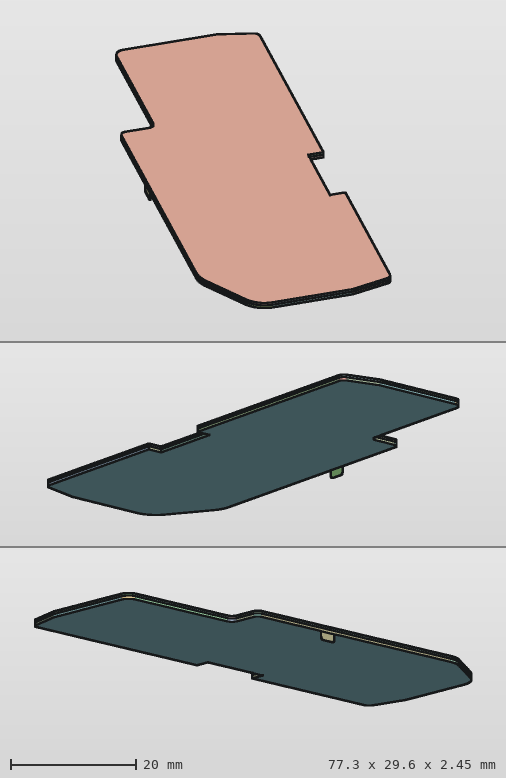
import cadquery as cq

LENGTH = 77.3
WIDTH = 29.6
LEFT = -LENGTH / 2
RIGHT = LENGTH / 2
FRONT = -WIDTH / 2
BACK = WIDTH / 2

SLOPE_INSET = 1.6
LEFT_SLOPE_LENGTH = 6.5
RIGHT_SLOPE_LENGTH = 6.95
BACK_CORNER_RADIUS = 1.1

STEP_LENGTH = 22.95
STEP_DEPTH = 5.9
STEP_INNER_RADIUS = 1.1
STEP_OUTER_RADIUS = 0.9
LEFT_CORNER_RADIUS = 1.55

CUT_LENGTH = 10.3
CUT_DEPTH = 6.7
CUT_SIDE_RADIUS = 4.8
CUT_FRONT_RADIUS = 4.8

NOTCH_LEFT = -0.85
NOTCH_WIDTH = 12.1
NOTCH_DEPTH = 2.55

BASE_THICKNESS = 0.55
COVER_THICKNESS = 0.5
COVER_BEVEL_HEIGHT = 0.2
COVER_BEVEL_INSET = 0.02

TAB_LEFT = -1.6
TAB_WIDTH = 2.9
TAB_DROP = 1.4
TAB_THICKNESS = 0.1
TAB_CORNER_RADIUS = 0.5


def round_corner(body, x, y, radius):
    """Round the vertical edge standing at the sharp corner (x, y)."""
    corner = cq.selectors.NearestToPointSelector((x, y, body.val().Center().z))
    return body.edges("|Z").edges(corner).fillet(radius)


def make_slab(bottom, thickness):
    """Slab with the shared outline, including the notch and rounded corners."""
    step_x = LEFT + STEP_LENGTH
    step_y = FRONT + STEP_DEPTH
    cut_x = RIGHT - CUT_LENGTH
    cut_y = FRONT + CUT_DEPTH
    notch_right = NOTCH_LEFT + NOTCH_WIDTH
    slab = (
        cq.Workplane("XY", origin=(0, 0, bottom))
        .moveTo(LEFT, step_y)
        .lineTo(step_x, step_y)
        .lineTo(step_x, FRONT)
        .lineTo(cut_x, FRONT)
        .lineTo(RIGHT, cut_y)
        .lineTo(RIGHT, BACK - RIGHT_SLOPE_LENGTH)
        .lineTo(RIGHT - SLOPE_INSET, BACK)
        .lineTo(notch_right, BACK)
        .lineTo(notch_right, BACK - NOTCH_DEPTH)
        .lineTo(NOTCH_LEFT, BACK - NOTCH_DEPTH)
        .lineTo(NOTCH_LEFT, BACK)
        .lineTo(LEFT + SLOPE_INSET, BACK)
        .lineTo(LEFT, BACK - LEFT_SLOPE_LENGTH)
        .close()
        .extrude(thickness)
    )
    rounded_corners = [
        (LEFT, step_y, LEFT_CORNER_RADIUS),
        (step_x, step_y, STEP_INNER_RADIUS),
        (step_x, FRONT, STEP_OUTER_RADIUS),
        (cut_x, FRONT, CUT_FRONT_RADIUS),
        (RIGHT, cut_y, CUT_SIDE_RADIUS),
        (RIGHT - SLOPE_INSET, BACK, BACK_CORNER_RADIUS),
        (LEFT + SLOPE_INSET, BACK, BACK_CORNER_RADIUS),
    ]
    for x, y, radius in rounded_corners:
        slab = round_corner(slab, x, y, radius)
    return slab


def make_base():
    """Lower plate with its tab flush with the front edge."""
    tab_height = TAB_DROP + BASE_THICKNESS
    tab = (
        cq.Workplane("XY", origin=(TAB_LEFT, FRONT, -TAB_DROP))
        .box(TAB_WIDTH, TAB_THICKNESS, tab_height, centered=False)
        .edges("|Y and <Z")
        .fillet(TAB_CORNER_RADIUS)
    )
    return make_slab(0, BASE_THICKNESS).union(tab)


def make_cover():
    """Thin top plate with a steep bevel around its upper edge."""
    cover = make_slab(BASE_THICKNESS, COVER_THICKNESS)
    return cover.faces(">Z").chamfer(COVER_BEVEL_HEIGHT, COVER_BEVEL_INSET)


base = make_base()
cover = make_cover()
result = cq.Compound.makeCompound([base.val(), cover.val()])